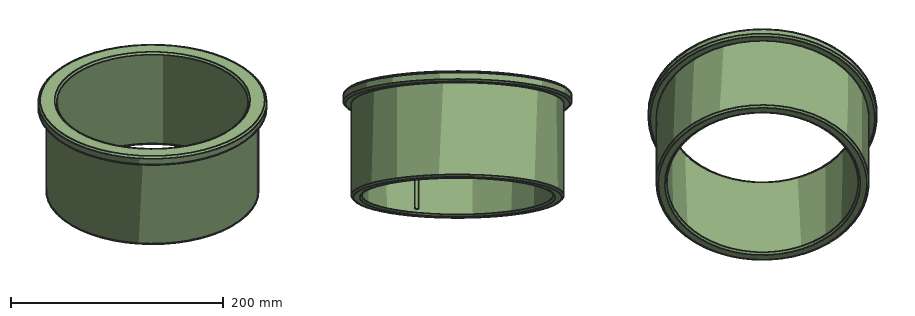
import cadquery as cq

flange_diameter = 215.0
body_diameter = 200.0
bore_diameter = 180.0
height = 100.0
flange_thickness = height / 10
edge_chamfer = 2.0

groove_diameter = 4.0
groove_end_margin = 5.2

flange_radius = flange_diameter / 2
body_radius = body_diameter / 2
bore_radius = bore_diameter / 2
flange_bottom = height - flange_thickness

half_section = [
    (bore_radius + edge_chamfer, 0),
    (body_radius - edge_chamfer, 0),
    (body_radius, edge_chamfer),
    (body_radius, flange_bottom),
    (flange_radius - edge_chamfer, flange_bottom),
    (flange_radius, flange_bottom + edge_chamfer),
    (flange_radius, height - edge_chamfer),
    (flange_radius - edge_chamfer, height),
    (bore_radius + edge_chamfer, height),
    (bore_radius, height - edge_chamfer),
    (bore_radius, edge_chamfer),
]

bushing = cq.Workplane("XZ").polyline(half_section).close().revolve(360, (0, 0, 0), (0, 1, 0))

groove_radius = groove_diameter / 2
lower_ball_height = groove_end_margin + groove_radius
upper_ball_height = height - lower_ball_height
groove_cutter = (
    cq.Workplane("XY", origin=(bore_radius, 0, lower_ball_height))
    .circle(groove_radius)
    .extrude(upper_ball_height - lower_ball_height)
)
for ball_height in (lower_ball_height, upper_ball_height):
    ball = cq.Workplane("XY", origin=(bore_radius, 0, ball_height)).sphere(groove_radius)
    groove_cutter = groove_cutter.union(ball)

result = bushing.cut(groove_cutter)